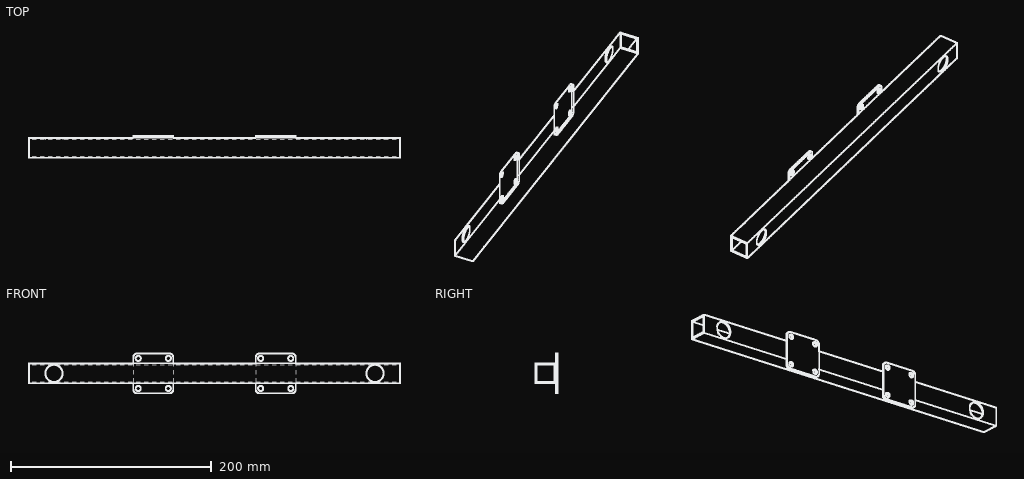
import cadquery as cq

tube_length = 370.0
tube_side = 20.0
tube_wall = 1.5
tube_bore = tube_side - 2 * tube_wall

cross_hole_diameter = 17.0
cross_hole_end_distance = 25.0
cross_hole_x = tube_length / 2 - cross_hole_end_distance

plate_side = 40.0
plate_thickness = 2.0
plate_corner_radius = 4.0
plate_spacing = 122.0
plate_hole_diameter = 5.0
plate_hole_spacing = 30.0


def make_tube():
    """Open-ended square tube with a cross hole through both walls near each end."""
    tube = (
        cq.Workplane("YZ")
        .rect(tube_side, tube_side)
        .rect(tube_bore, tube_bore)
        .extrude(tube_length / 2, both=True)
    )
    cross_holes = (
        cq.Workplane("XZ")
        .pushPoints([(-cross_hole_x, 0), (cross_hole_x, 0)])
        .circle(cross_hole_diameter / 2)
        .extrude(tube_side, both=True)
    )
    return tube.cut(cross_holes)


def make_mounting_plate(center_x):
    """Square plate with rounded corners and four screw holes, lying against the tube's back face."""
    return (
        cq.Workplane("XZ", origin=(center_x, tube_side / 2, 0))
        .rect(plate_side, plate_side)
        .extrude(-plate_thickness)
        .edges("|Y")
        .fillet(plate_corner_radius)
        .cut(make_plate_holes(center_x))
    )


def make_plate_holes(center_x):
    """Four cylinders on a square pattern, as deep as the plate is thick."""
    return (
        cq.Workplane("XZ", origin=(center_x, tube_side / 2, 0))
        .rect(plate_hole_spacing, plate_hole_spacing, forConstruction=True)
        .vertices()
        .circle(plate_hole_diameter / 2)
        .extrude(-plate_thickness)
    )


tube = make_tube()
mounting_plates = [make_mounting_plate(side * plate_spacing / 2) for side in (-1, 1)]

result = cq.Compound.makeCompound([tube.val(), *[plate.val() for plate in mounting_plates]])